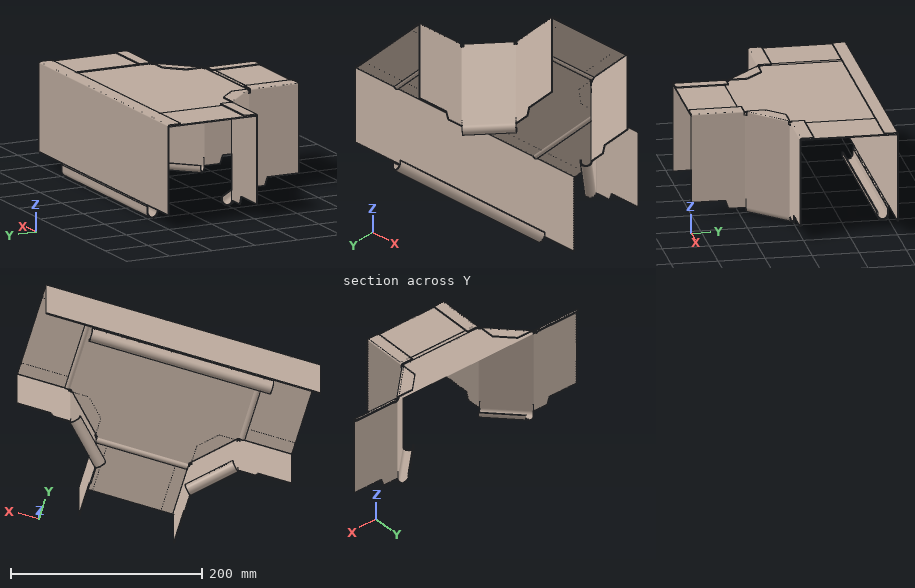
import cadquery as cq
import math


sheet = 1.2
bend_outer = 2.0
bend_inner = bend_outer - sheet

half_length = 150.0
total_width = 202.3
channel_width = 104.8
corner_cut = 40.0
crank_angle = math.radians(45)
half_branch = channel_width / 2
channel_corner = (-half_branch - corner_cut, -channel_width)
branch_corner = (-half_branch, -channel_width - corner_cut)
channel_end = (-half_length, -channel_width)
branch_end = (-half_branch, -total_width)

total_height = 113.0
hook_outer = 6.3
hook_inner = hook_outer - sheet
wall_bottom = hook_outer - total_height
open_end_bottom = -97.5

flange_width = 15.0
flange_clip_along = 1.2
flange_clip_across = 3.0
relief_half = 1.35
relief_depth = 4.5
raised_length = 36.5
raised_slope = 3.0
hook_lip = 2.7
back_hook_half_length = 99.0
joggle_height = 2.5

groove_angle = math.radians(60)
groove_crest = 1.5
groove_trough = 2.0


def offset_corner(corner, distance):
    """Move a cranked corner inward, keeping it on all the walls' parallels."""
    shift = distance * math.tan(crank_angle / 2)
    if corner == channel_corner:
        return corner[0] + shift, corner[1] + distance
    return corner[0] + distance, corner[1] + shift


def edge_plane(start, end):
    """Section plane at start: local x points inward, local y up, and the normal runs to end."""
    run = cq.Vector(end[0] - start[0], end[1] - start[1], 0).normalized()
    inward = cq.Vector(-run.y, run.x, 0)
    return cq.Plane(origin=(start[0], start[1], 0), xDir=inward, normal=run)


def sweep_section(section, start, end):
    return section.extrude(math.dist(start, end))


def arc_point(center, radius, angle):
    return center[0] + radius * math.cos(angle), center[1] + radius * math.sin(angle)


def fold(start, end):
    """Rounded top fold with its flange, along one wall."""
    center = (bend_outer, -bend_outer)
    middle = math.radians(135)
    section = (
        cq.Workplane(edge_plane(start, end))
        .moveTo(0, -relief_depth)
        .lineTo(0, -bend_outer)
        .threePointArc(arc_point(center, bend_outer, middle), (bend_outer, 0))
        .lineTo(flange_width, 0)
        .lineTo(flange_width, -sheet)
        .lineTo(bend_outer, -sheet)
        .threePointArc(arc_point(center, bend_inner, middle), (sheet, -bend_outer))
        .lineTo(sheet, -relief_depth)
        .close()
    )
    return sweep_section(section, start, end)


def hook(start, end, setback=0.0):
    """Lower edge of a wall: an optional inward joggle, a half-round bottom and a short lip."""
    outside = setback
    inside = setback + sheet
    lip_inside = outside + 2 * hook_outer - sheet
    lip_outside = outside + 2 * hook_outer
    center_x = outside + hook_outer
    joggle_end = open_end_bottom - joggle_height
    section = (
        cq.Workplane(edge_plane(start, end))
        .moveTo(0, open_end_bottom)
        .lineTo(outside, joggle_end)
        .lineTo(outside, wall_bottom)
        .threePointArc((center_x, wall_bottom - hook_outer), (lip_outside, wall_bottom))
        .lineTo(lip_outside, wall_bottom + hook_lip)
        .lineTo(lip_inside, wall_bottom + hook_lip)
        .lineTo(lip_inside, wall_bottom)
        .threePointArc((center_x, wall_bottom - hook_inner), (inside, wall_bottom))
        .lineTo(inside, joggle_end)
        .lineTo(sheet, open_end_bottom)
        .close()
    )
    return sweep_section(section, start, end)


def prism(points, bottom, top):
    return cq.Workplane("XY").workplane(offset=bottom).polyline(points).close().extrude(top - bottom)


def flange_clip(corner, along, across):
    """Triangular cutter for the free corner of a flange; along and across are (x, y) legs."""
    points = [
        corner,
        (corner[0] + along[0], corner[1] + along[1]),
        (corner[0] + across[0], corner[1] + across[1]),
    ]
    return prism(points, -sheet, 0)


def groove(start, end):
    """Folded groove across the plate; local x runs outward to the open end of the channel."""
    crest = (0, -sheet - groove_crest)
    crest_inner = groove_crest - sheet
    turn = math.pi / 2 - groove_angle
    reach = groove_crest + groove_trough
    trough = arc_point(crest, reach, turn)
    trough_outer = groove_trough + sheet
    plate_top = -sheet
    plate_bottom = -2 * sheet
    top_exit = math.asin((plate_top - trough[1]) / groove_trough)
    bottom_exit = math.asin((plate_bottom - trough[1]) / trough_outer)
    upper_end = arc_point(trough, groove_trough, top_exit)
    lower_end = arc_point(trough, trough_outer, bottom_exit)
    half_turn = (turn + math.pi / 2) / 2
    down = -math.pi / 2
    section_plane = edge_plane(start, end)
    section = (
        cq.Workplane(section_plane)
        .moveTo(0, plate_top)
        .threePointArc(arc_point(crest, groove_crest, half_turn), arc_point(crest, groove_crest, turn))
        .threePointArc(arc_point(trough, groove_trough, down), upper_end)
        .lineTo(lower_end[0], plate_top)
        .lineTo(*lower_end)
        .threePointArc(arc_point(trough, trough_outer, down), arc_point(crest, crest_inner, turn))
        .threePointArc(arc_point(crest, crest_inner, half_turn), (0, plate_bottom))
        .close()
    )
    strip = (
        cq.Workplane(section_plane)
        .moveTo(0, plate_bottom)
        .lineTo(lower_end[0], plate_bottom)
        .lineTo(lower_end[0], plate_top)
        .lineTo(0, plate_top)
        .close()
    )
    return sweep_section(section, start, end), sweep_section(strip, start, end)


def make_top_plate():
    inset = bend_outer
    near_channel = offset_corner(channel_corner, inset)
    near_branch = offset_corner(branch_corner, inset)
    left_side = [
        (-half_length, -inset),
        (-half_length, near_channel[1]),
        near_channel,
        near_branch,
        (near_branch[0], -total_width),
    ]
    right_side = [(-x, y) for x, y in reversed(left_side)]
    plate = prism(left_side + right_side, -2 * sheet, -sheet)

    groove_x = channel_corner[0]
    groove_y = branch_corner[1]
    groove_lines = [
        ((groove_x, near_channel[1]), (groove_x, -inset)),
        ((-groove_x, -inset), (-groove_x, near_channel[1])),
        ((-near_branch[0], groove_y), (near_branch[0], groove_y)),
    ]
    for start, end in groove_lines:
        folded, strip = groove(start, end)
        plate = plate.cut(strip).union(folded)
    return plate


def make_back_wall():
    right_end = (half_length, 0)
    left_end = (-half_length, 0)
    panel = prism(
        [left_end, right_end, (half_length, -sheet), (-half_length, -sheet)],
        open_end_bottom, -relief_depth,
    )
    lower_edge = hook((back_hook_half_length, 0), (-back_hook_half_length, 0), setback=sheet)
    wall = panel.union(fold(right_end, left_end)).union(lower_edge)
    for side in (-1, 1):
        corner = (side * half_length, -flange_width)
        wall = wall.cut(flange_clip(corner, (-side * flange_clip_along, 0), (0, flange_clip_across)))
    return wall


def cranked_panel():
    inner_channel = offset_corner(channel_corner, sheet)
    inner_branch = offset_corner(branch_corner, sheet)
    outline = [
        channel_end, channel_corner, branch_corner, branch_end,
        (inner_branch[0], -total_width), inner_branch, inner_channel, (-half_length, inner_channel[1]),
    ]
    panel = prism(outline, wall_bottom, -bend_outer)
    crank_bends = [
        (channel_corner, bend_inner), (inner_channel, bend_outer),
        (branch_corner, bend_inner), (inner_branch, bend_outer),
    ]
    for (x, y), radius in crank_bends:
        edge = cq.selectors.NearestToPointSelector((x, y, (wall_bottom - bend_outer) / 2))
        panel = panel.edges("|Z").edges(edge).fillet(radius)
    return panel


def raised_edge(end, corner):
    """Cutter that lifts the lower edge of a wall beside its open end."""
    run = cq.Vector(corner[0] - end[0], corner[1] - end[1], 0).normalized()
    plane = cq.Plane(origin=(end[0], end[1], 0), xDir=run, normal=run.cross(cq.Vector(0, 0, 1)))
    return (
        cq.Workplane(plane)
        .moveTo(0, wall_bottom)
        .lineTo(0, open_end_bottom)
        .lineTo(raised_length, open_end_bottom)
        .lineTo(raised_length + raised_slope, wall_bottom)
        .close()
        .extrude(2 * sheet, both=True)
    )


def diagonal_fold():
    """Fold over the 45 degree wall; its flange ends follow the faces of the neighbouring walls."""
    limits = prism(
        [channel_corner, (branch_corner[0], channel_corner[1]), branch_corner],
        -relief_depth, 0,
    )
    return fold(channel_corner, branch_corner).intersect(limits)


def make_side_wall():
    wall = cranked_panel()
    wall = wall.cut(raised_edge(channel_end, channel_corner)).cut(raised_edge(branch_end, branch_corner))

    wall = wall.union(fold(channel_end, (channel_corner[0] - relief_half, channel_corner[1])))
    wall = wall.union(fold((branch_corner[0], branch_corner[1] - relief_half), branch_end))
    wall = wall.union(diagonal_fold())
    wall = wall.union(hook(channel_corner, branch_corner))


    for x, y in (channel_corner, branch_corner):
        relief = cq.Workplane("XY").box(2 * relief_half, 2 * relief_half, 2 * relief_depth)
        wall = wall.cut(relief.translate((x, y, 0)))

    channel_clip = (channel_end[0], channel_end[1] + flange_width)
    branch_clip = (branch_end[0] + flange_width, branch_end[1])
    wall = wall.cut(flange_clip(channel_clip, (flange_clip_along, 0), (0, -flange_clip_across)))
    wall = wall.cut(flange_clip(branch_clip, (0, flange_clip_along), (-flange_clip_across, 0)))
    return wall


top_plate = make_top_plate()
back_wall = make_back_wall()
left_wall = make_side_wall()
side_walls = [left_wall, left_wall.mirror("YZ")]

bodies = [top_plate, back_wall, *side_walls]
result = cq.Compound.makeCompound([body.solids().val() for body in bodies])